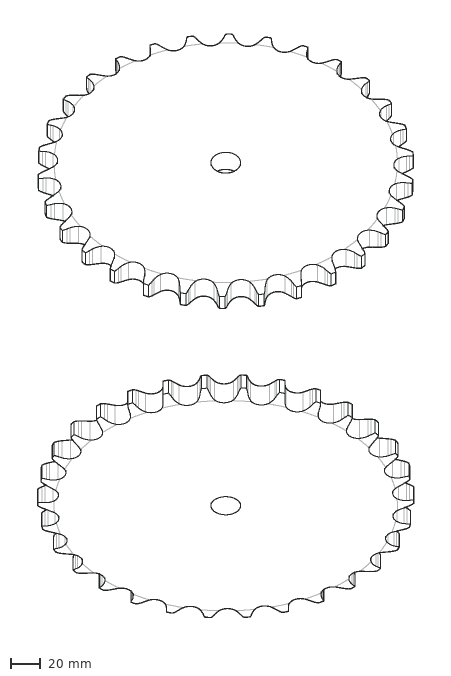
import cadquery as cq
import math

TOOTH_COUNT = 30
CHAIN_PITCH = 25.4
ROLLER_DIAMETER = 15.88
OUTER_DIAMETER = 254.0
PLATE_THICKNESS = 16.2
BORE_DIAMETER = 20.0

RELIEF_RADIUS = 26.0
RELIEF_DEPTH = 2.5

TIP_CLEARANCE = 3.0

OUTER_RADIUS = OUTER_DIAMETER / 2
HALF_THICKNESS = PLATE_THICKNESS / 2
PITCH_RADIUS = CHAIN_PITCH / 2 / math.sin(math.pi / TOOTH_COUNT)
RELIEF_LENGTH = math.sqrt(RELIEF_RADIUS**2 - (RELIEF_RADIUS - RELIEF_DEPTH) ** 2)

FORM_ALLOWANCE = 0.0381
SEATING_RADIUS = 0.5025 * ROLLER_DIAMETER + FORM_ALLOWANCE
WORKING_RADIUS = 1.3025 * ROLLER_DIAMETER + FORM_ALLOWANCE
WORKING_CENTRE_OFFSET = 0.8 * ROLLER_DIAMETER
TOPPING_CENTRE_OFFSET = 1.4 * ROLLER_DIAMETER
SEATING_END_ANGLE = math.radians(35 + 60 / TOOTH_COUNT)
WORKING_SWEEP = math.radians(18 - 56 / TOOTH_COUNT)
TOPPING_ANGLE = math.radians(17 - 64 / TOOTH_COUNT)
STRAIGHT_LENGTH = (
    TOPPING_CENTRE_OFFSET * math.sin(TOPPING_ANGLE)
    - WORKING_CENTRE_OFFSET * math.sin(WORKING_SWEEP)
)
TOPPING_RADIUS = (
    WORKING_CENTRE_OFFSET * math.cos(WORKING_SWEEP)
    + TOPPING_CENTRE_OFFSET * math.cos(TOPPING_ANGLE)
    - WORKING_RADIUS
)


def offset_point(origin, distance, angle):
    """Point at a distance from the origin point, along an angle measured from +X."""
    return (origin[0] + distance * math.cos(angle), origin[1] + distance * math.sin(angle))


def mirrored(point):
    """Mirror image of a point across the X axis."""
    return (point[0], -point[1])


def relieved_blank():
    """Bored disc whose rim curves inward on both faces."""
    disc = cq.Workplane("XY").circle(OUTER_RADIUS).extrude(HALF_THICKNESS, both=True)
    relief_start = OUTER_RADIUS - RELIEF_LENGTH
    arc_centre = (relief_start, HALF_THICKNESS - RELIEF_RADIUS)
    rim_angle = math.acos(RELIEF_LENGTH / RELIEF_RADIUS)
    arc_middle = offset_point(arc_centre, RELIEF_RADIUS, (math.pi / 2 + rim_angle) / 2)
    upper_relief = (
        cq.Workplane("XZ")
        .moveTo(relief_start, HALF_THICKNESS)
        .threePointArc(arc_middle, (OUTER_RADIUS, HALF_THICKNESS - RELIEF_DEPTH))
        .lineTo(OUTER_RADIUS + TIP_CLEARANCE, HALF_THICKNESS - RELIEF_DEPTH)
        .lineTo(OUTER_RADIUS + TIP_CLEARANCE, HALF_THICKNESS)
        .close()
        .revolve(360, (0, 0, 0), (0, 1, 0))
    )
    lower_relief = upper_relief.mirror("XY")
    bore = cq.Workplane("XY").circle(BORE_DIAMETER / 2).extrude(HALF_THICKNESS, both=True)
    return disc.cut(upper_relief).cut(lower_relief).cut(bore)


def gap_cutter():
    """Prism filling one tooth gap, symmetric about +X."""
    seat_centre = (PITCH_RADIUS, 0)
    seat_bottom = (PITCH_RADIUS - SEATING_RADIUS, 0)

    seat_normal = math.pi / 2 + SEATING_END_ANGLE
    flank_normal = seat_normal - WORKING_SWEEP
    flank_direction = flank_normal - math.pi / 2

    seat_end = offset_point(seat_centre, SEATING_RADIUS, seat_normal)
    working_centre = offset_point(seat_centre, -WORKING_CENTRE_OFFSET, seat_normal)
    working_middle = offset_point(working_centre, WORKING_RADIUS, (seat_normal + flank_normal) / 2)
    working_end = offset_point(working_centre, WORKING_RADIUS, flank_normal)
    straight_end = offset_point(working_end, STRAIGHT_LENGTH, flank_direction)

    topping_centre = offset_point(straight_end, TOPPING_RADIUS, flank_normal)
    cut_radius = OUTER_RADIUS + TIP_CLEARANCE
    topping_start_angle = flank_normal - math.pi
    topping_end_angle = -math.acos((cut_radius - topping_centre[0]) / TOPPING_RADIUS)
    topping_middle_angle = (topping_start_angle + topping_end_angle) / 2
    topping_middle = offset_point(topping_centre, TOPPING_RADIUS, topping_middle_angle)
    topping_end = offset_point(topping_centre, TOPPING_RADIUS, topping_end_angle)

    return (
        cq.Workplane("XY")
        .moveTo(*mirrored(seat_end))
        .threePointArc(seat_bottom, seat_end)
        .threePointArc(working_middle, working_end)
        .lineTo(*straight_end)
        .threePointArc(topping_middle, topping_end)
        .lineTo(*mirrored(topping_end))
        .threePointArc(mirrored(topping_middle), mirrored(straight_end))
        .lineTo(*mirrored(working_end))
        .threePointArc(mirrored(working_middle), mirrored(seat_end))
        .close()
        .extrude(HALF_THICKNESS, both=True)
    )


def toothed(blank):
    """Cut the gaps, leaving one tooth centred on the +X axis."""
    tooth_angle = 360 / TOOTH_COUNT
    cutter = gap_cutter()
    for index in range(TOOTH_COUNT):
        gap_angle = (index + 1 / 2) * tooth_angle
        blank = blank.cut(cutter.rotate((0, 0, 0), (0, 0, 1), gap_angle))
    return blank


result = toothed(relieved_blank())